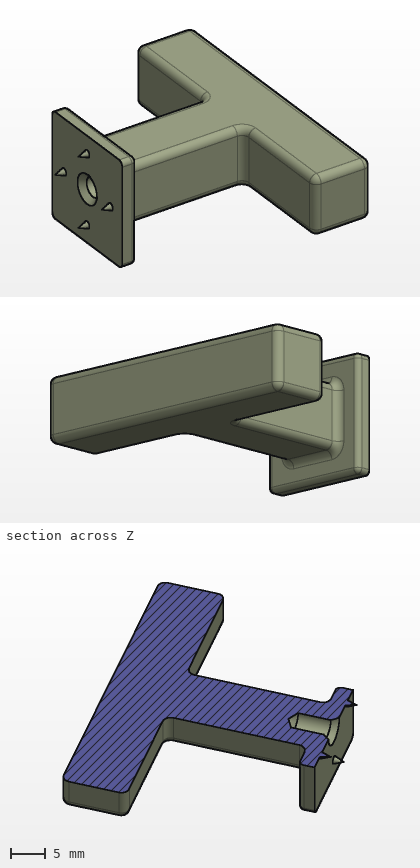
import cadquery as cq

bar_length = 46.0
bar_width = 10.0
overall_depth = 35.5
body_fillet = 1.2

plate_side = 18.0
plate_thickness = 2.5
plate_fillet = 0.85

spike_length = 1.5
spike_radius = 0.6
spike_circle_radius = 6.0

hole_mouth_radius = 2.5
hole_radius = 1.6
countersink_depth = 1.0
hole_depth = 6.0
hole_tip_depth = 0.9

bar_back = overall_depth - spike_length
bar_front = bar_back - bar_width


def make_handle():
    """T-shaped grip with every edge rounded except at the plate end."""
    bar = cq.Workplane("XY").box(bar_length, bar_width, bar_width)
    bar = bar.translate((0, bar_front + bar_width / 2, 0))
    stem = cq.Workplane("XY").box(bar_width, bar_front, bar_width)
    stem = stem.translate((0, bar_front / 2, 0))
    tee = bar.union(stem).clean()
    return tee.edges("not <Y").fillet(body_fillet)


def make_plate():
    """Square plate with rounded corners and a rounded rim on the stem side."""
    plate = cq.Workplane("XY").box(plate_side, plate_thickness, plate_side)
    plate = plate.translate((0, plate_thickness / 2, 0))
    return plate.edges("|Y or >Y").fillet(plate_fillet)


def join_with_flare(handle, plate):
    """Fuse the stem to the plate and blend the joint with a concave fillet."""
    body = handle.union(plate)
    joint_tolerance = 0.05
    reach = bar_width / 2 + body_fillet / 2
    joint = cq.selectors.BoxSelector(
        (-reach, plate_thickness - joint_tolerance, -reach),
        (reach, plate_thickness + joint_tolerance, reach),
    )
    return body.edges(joint).fillet(body_fillet)


def make_hole():
    """Countersunk blind hole with a conical bottom, turned about the Y axis."""
    return (
        cq.Workplane("XY")
        .lineTo(hole_mouth_radius, 0)
        .lineTo(hole_radius, countersink_depth)
        .lineTo(hole_radius, hole_depth)
        .lineTo(0, hole_depth + hole_tip_depth)
        .close()
        .revolve(360, (0, 0, 0), (0, 1, 0))
    )


def make_spike(x, z):
    """Pointed cone standing out from the plate face towards -Y."""
    base = cq.Vector(x, 0, z)
    outward = cq.Vector(0, -1, 0)
    return cq.Workplane(cq.Solid.makeCone(spike_radius, 0, spike_length, base, outward))


result = join_with_flare(make_handle(), make_plate()).cut(make_hole())
for side_x, side_z in ((1, 0), (-1, 0), (0, 1), (0, -1)):
    spike = make_spike(side_x * spike_circle_radius, side_z * spike_circle_radius)
    result = result.union(spike)